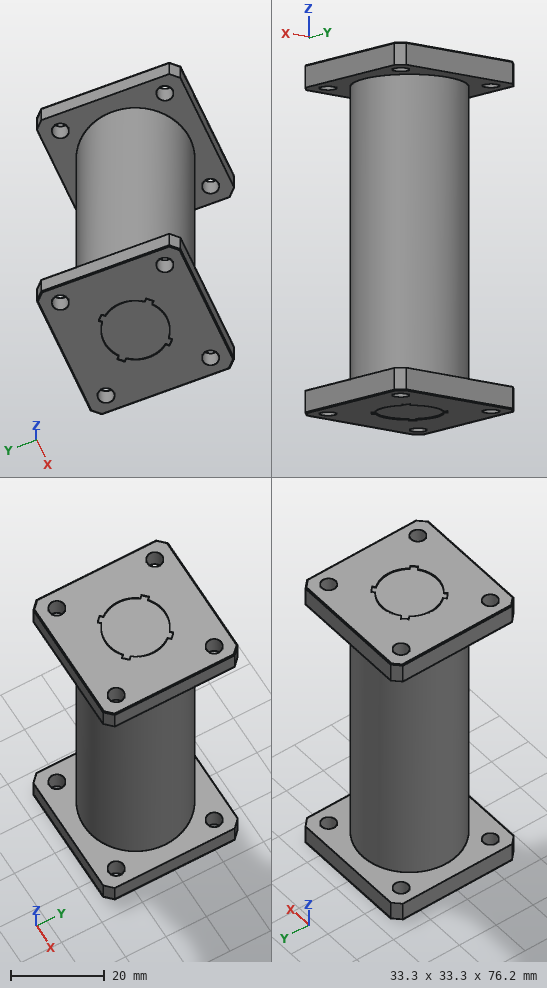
import cadquery as cq

total_length = 76.2
flange_width = 33.3
flange_thickness = 4.95
tube_diameter = 25.4

corner_chamfer = 1.8
face_chamfer = 0.2
bolt_spacing_x = 25.15
bolt_spacing_y = 24.2
bolt_hole_diameter = 3.65

recess_depth = 0.27
recess_diameter = 14.7
notch_tip_to_tip = 16.3
notch_width = 1.7
notch_bar_angles = (45, 135)


def recess():
    """Recess volume reaching down from the outer face at Z = 0."""
    pocket = cq.Workplane("XY").circle(recess_diameter / 2).extrude(-recess_depth)
    for angle in notch_bar_angles:
        notch_bar = (
            cq.Workplane("XY")
            .transformed(rotate=(0, 0, angle))
            .rect(notch_tip_to_tip, notch_width)
            .extrude(-recess_depth)
        )
        pocket = pocket.union(notch_bar)
    return pocket


def flange():
    """Square flange below its outer face, which lies at Z = 0."""
    plate = (
        cq.Workplane("XY")
        .rect(flange_width, flange_width)
        .extrude(-flange_thickness)
        .edges("|Z")
        .chamfer(corner_chamfer)
        .faces(">Z")
        .edges()
        .chamfer(face_chamfer)
    )
    bolt_holes = (
        cq.Workplane("XY")
        .rect(bolt_spacing_x, bolt_spacing_y, forConstruction=True)
        .vertices()
        .circle(bolt_hole_diameter / 2)
        .extrude(-flange_thickness)
    )
    return plate.cut(bolt_holes).cut(recess())


top_flange = flange().translate((0, 0, total_length / 2))
bottom_flange = top_flange.mirror("XY")
tube_length = total_length - 2 * flange_thickness
tube = cq.Workplane("XY").circle(tube_diameter / 2).extrude(tube_length / 2, both=True)

result = tube.union(top_flange).union(bottom_flange)